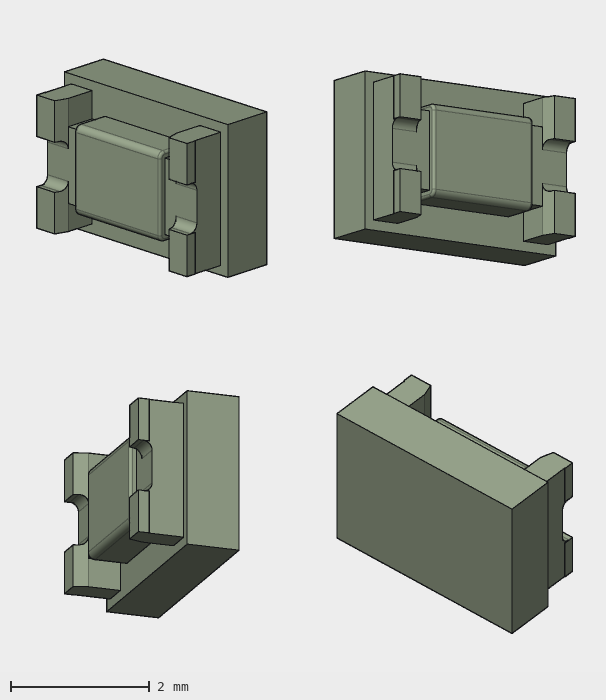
import cadquery as cq

plate_length = 3.32
plate_height = 2.33
plate_thickness = 0.8

leg_depth = 0.7
leg_outer_x = 1.517
leg_inner_x = 1.095
leg_tip_inner_x = 1.162
leg_height = 2.032

plating_thickness = 0.01
plating_depth = 0.17

core_depth = 0.488
core_height = 1.17
notch_height = 0.765
notch_radius = 0.133

winding_length = 1.735
winding_thickness = 0.103
winding_end_radius = 0.043


def box_in_front(length, depth, height):
    """Box centred on X and Z, reaching from the mounting face to Y = -depth."""
    return cq.Workplane("XY").box(length, depth, height).translate((0, -depth / 2, 0))


def make_leg():
    """Leg on the +X side: tapered, plated at the tip and notched at mid height."""
    plated_x = leg_outer_x + plating_thickness
    plating_start = leg_depth - plating_depth
    body = (
        cq.Workplane("XY")
        .polyline([
            (leg_inner_x, 0),
            (leg_outer_x, 0),
            (leg_outer_x, -plating_start),
            (plated_x, -plating_start),
            (plated_x, -leg_depth),
            (leg_tip_inner_x, -leg_depth),
            (leg_inner_x, -core_depth),
        ])
        .close()
        .extrude(leg_height / 2, both=True)
    )
    notch = (
        box_in_front(plate_length, leg_depth, notch_height)
        .translate((0, -core_depth, 0))
        .edges("|X and >Y")
        .fillet(notch_radius)
    )
    bare_side = (
        box_in_front(plating_thickness, leg_depth, notch_height)
        .translate((leg_outer_x + plating_thickness / 2, 0, 0))
    )
    return body.cut(notch).cut(bare_side)


def make_winding():
    """Winding block with large rounds along X and small rounds at both ends."""
    return (
        box_in_front(
            winding_length,
            core_depth + winding_thickness,
            core_height + 2 * winding_thickness,
        )
        .edges("|X and <Y")
        .fillet(winding_thickness)
        .faces("<Y")
        .edges("|Z and (<X or >X)")
        .fillet(winding_end_radius)
    )


plate = (
    cq.Workplane("XY")
    .box(plate_length, plate_thickness, plate_height)
    .translate((0, plate_thickness / 2, 0))
)
leg = make_leg()
core = box_in_front(2 * leg_inner_x, core_depth, core_height)

result = (
    plate
    .union(leg)
    .union(leg.mirror("YZ"))
    .union(core)
    .union(make_winding())
)